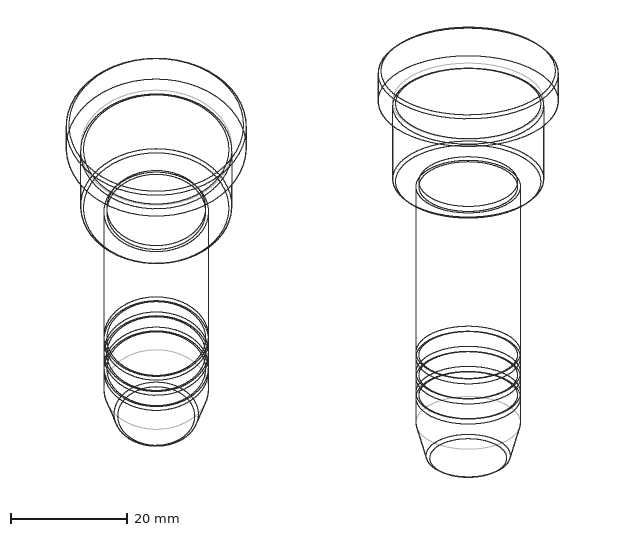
import cadquery as cq
import math

total_length = 77.0

head_radius = 31.0 / 2
head_height = 6.0

collar_radius = 26.0 / 2
collar_height = 16.0
collar_bottom_z = total_length - head_height - collar_height

shaft_radius = 18.0 / 2
taper_length = 7.0
taper_angle = math.radians(15.0)
tip_radius = shaft_radius - taper_length * math.tan(taper_angle)

edge_chamfer = 0.5

relief_width = 1.0
relief_depth = 0.5

groove_radius = 0.5
shaft_groove_pitch = 4.0
shaft_groove_count = 3
top_groove_drop_from_head = 50.5
top_shaft_groove_z = total_length - head_height - top_groove_drop_from_head
collar_groove_z = total_length - head_height - groove_radius


def cylinder(radius, bottom_z, top_z):
    """Cylinder about Z between two heights."""
    return cq.Workplane("XY").workplane(offset=bottom_z).circle(radius).extrude(top_z - bottom_z)


def make_head():
    head = cylinder(head_radius, total_length - head_height, total_length)
    return head.faces(">Z").chamfer(edge_chamfer)


def make_collar():
    collar = cylinder(collar_radius, collar_bottom_z, total_length - head_height)
    return collar.faces("<Z").chamfer(edge_chamfer)


def make_shaft():
    relief_bottom_z = collar_bottom_z - relief_width
    body = cylinder(shaft_radius, taper_length, relief_bottom_z)
    neck = cylinder(shaft_radius - relief_depth, relief_bottom_z, collar_bottom_z)
    taper = cq.Workplane(cq.Solid.makeCone(tip_radius, shaft_radius, taper_length))
    taper = taper.faces("<Z").chamfer(edge_chamfer)
    return taper.union(body).union(neck)


def ring_groove(surface_radius, center_z):
    """Half-round ring cutter centred on a cylindrical surface."""
    section = cq.Workplane("XZ").center(surface_radius, center_z).circle(groove_radius)
    return section.revolve(360, (-surface_radius, 0, 0), (-surface_radius, 1, 0))


result = make_head().union(make_collar()).union(make_shaft())
result = result.cut(ring_groove(collar_radius, collar_groove_z))
for groove_index in range(shaft_groove_count):
    groove_z = top_shaft_groove_z - groove_index * shaft_groove_pitch
    result = result.cut(ring_groove(shaft_radius, groove_z))